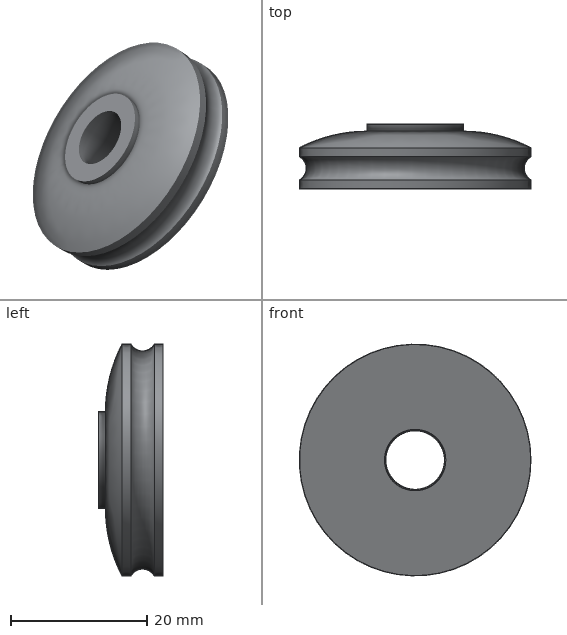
import cadquery as cq
import math

wheel_radius = 17.0
hub_radius = 14.2 / 2
bore_radius = 8.6 / 2
mouth_radius = 9.0 / 2
mouth_depth = mouth_radius - bore_radius

total_width = 9.5
front_rim_width = 1.3
groove_width = 3.45
groove_depth = 1.0
back_rim_width = 1.3
hub_height = 1.02

groove_start = front_rim_width
groove_middle = groove_start + groove_width / 2
groove_end = groove_start + groove_width
dome_start = groove_end + back_rim_width
dome_end = total_width - hub_height

dome_run = wheel_radius - hub_radius
dome_drop = dome_end - dome_start
dome_arc_radius = (dome_run**2 + dome_drop**2) / (2 * dome_drop)
dome_mid_angle = math.asin(dome_run / dome_arc_radius) / 2
dome_middle = (
    hub_radius + dome_arc_radius * math.sin(dome_mid_angle),
    dome_end - dome_arc_radius * (1 - math.cos(dome_mid_angle)),
)

half_section = (
    cq.Workplane("XY")
    .moveTo(mouth_radius, 0)
    .lineTo(wheel_radius, 0)
    .lineTo(wheel_radius, groove_start)
    .threePointArc((wheel_radius - groove_depth, groove_middle), (wheel_radius, groove_end))
    .lineTo(wheel_radius, dome_start)
    .threePointArc(dome_middle, (hub_radius, dome_end))
    .lineTo(hub_radius, total_width)
    .lineTo(bore_radius, total_width)
    .lineTo(bore_radius, mouth_depth)
    .close()
)

result = half_section.revolve(360, (0, 0, 0), (0, 1, 0))